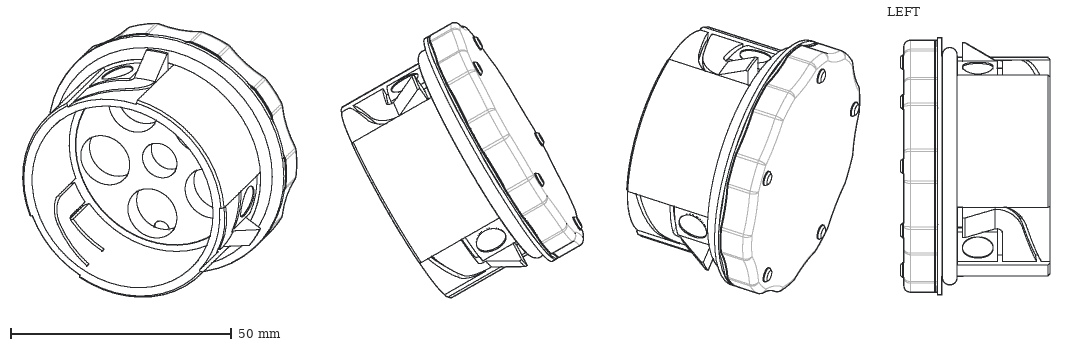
import cadquery as cq
import math


BARREL_RADIUS = 25.0
BARREL_BORE = 22.4
BARREL_RIM_CHAMFER = 0.5
SHOULDER_Y = 21.0
PLUG_BORE = 20.9

GASKET_FRONT_Y = 24.6
GASKET_SEAT_Y = 25.35
GASKET_RIM_Y = 25.6
PLATE_BACK_Y = 26.0
CAP_FRONT_Y = 26.2
CAP_BACK_Y = 33.25
KNOB_TIP_Y = 34.0

ORING_SECTION = 1.7
ORING_RADIUS = 25.3
ORING_Y = 22.8

GRIP_RADIUS = 29.2
GRIP_COUNT = 10
SCALLOP_HALF_ANGLE = 10.8
SCALLOP_DEPTH = 0.6
SCALLOP_EDGE_FILLET = 1.65
CAP_EDGE_FILLET = 1.5
SPIGOT_RADIUS = 27.1
GASKET_SEAT_RADIUS = 28.3

KNOB_COUNT = 5
KNOB_CIRCLE = 24.8
KNOB_FIRST_ANGLE = 36.0
KNOB_RADIUS = 1.7
KNOB_SIDE = 0.25
KNOB_TIP_RADIUS = 1.2

BORE_CIRCLE = 19.75
BORE_ANGLES = (115.0, 265.0)
BORE_RADIUS = 1.9
BORE_DEPTH = 0.6

PLUG_RADIUS = 20.8
HOLE_COUNT = 5
HOLE_CIRCLE = 13.7
HOLE_FIRST_ANGLE = 46.4
HOLE_RADIUS = 6.1
CENTRE_HOLE_RADIUS = 4.25

LATCH_COUNT = 3
PANEL_RADIUS = 24.1
PANEL_START_ANGLE = 82.0
PANEL_END_ANGLE = 124.0
HOOK_HALF_WIDTH = 2.55
HOOK_END_Y = 19.9
HOOK_LAND = 0.6
HOOK_FOOT_Y = 12.5
HOOK_TIP_RADIUS = 28.1
HOOK_ROOT_RADIUS = 23.35
SLIT_WIDTH = 0.9
CROSS_SLIT_WIDTH = 1.1
CROSS_SLIT_Y = 10.85
CROSS_SLIT_FILLET = 1.15
ARM_BEND_RADIUS = 6.4
ARM_SLOPE = 16.0
ARM_SLIT_WIDTH = 1.0
DIMPLE_X = -8.45
DIMPLE_Y = 16.4
DIMPLE_RADIUS = 3.5
DIMPLE_DEPTH = 0.3

LIP_LENGTH = 0.7
LIP_HEIGHT = 0.4
LIP_START_ANGLE = -22.0
LIP_END_ANGLE = PANEL_START_ANGLE

CUT_REACH = 35.05


def polar(radius, angle):
    """X and Z of a point at this radius and angle about the Y axis."""
    return (radius * math.cos(math.radians(angle)), radius * math.sin(math.radians(angle)))


def disc(radius, front_y, back_y):
    """Solid cylinder on the Y axis."""
    return cq.Workplane("XZ", origin=(0, front_y, 0)).circle(radius).extrude(front_y - back_y)


def peg(circle, angle, radius, front_y, back_y):
    """Cylinder parallel to Y, centred on a circle about the axis."""
    x, z = polar(circle, angle)
    return disc(radius, front_y, back_y).translate((x, 0, z))


def sector(start_angle, end_angle, front_y, back_y):
    """Wedge from the Y axis out past the part, between two angles."""
    half_span = (end_angle - start_angle) / 2
    reach = CUT_REACH / math.cos(math.radians(half_span))
    corners = [
        (0, 0),
        polar(CUT_REACH, start_angle),
        polar(reach, start_angle + half_span),
        polar(CUT_REACH, end_angle),
    ]
    return cq.Workplane("XZ", origin=(0, front_y, 0)).polyline(corners).close().extrude(front_y - back_y)


def grip_prism(front_y, back_y):
    """Disc with scallops around its rim, one of them centred at the top."""
    pitch = 360 / GRIP_COUNT
    valley_radius = GRIP_RADIUS * math.cos(math.radians(SCALLOP_HALF_ANGLE)) - SCALLOP_DEPTH
    first = 90 - SCALLOP_HALF_ANGLE
    outline = cq.Workplane("XZ", origin=(0, front_y, 0)).moveTo(*polar(GRIP_RADIUS, first))
    for i in range(GRIP_COUNT):
        middle = 90 + i * pitch
        scallop_end = polar(GRIP_RADIUS, middle + SCALLOP_HALF_ANGLE)
        crest_middle = polar(GRIP_RADIUS, middle + pitch / 2)
        crest_end = polar(GRIP_RADIUS, middle + pitch - SCALLOP_HALF_ANGLE)
        outline = outline.threePointArc(polar(valley_radius, middle), scallop_end)
        outline = outline.threePointArc(crest_middle, crest_end)
    prism = outline.close().extrude(front_y - back_y)
    return prism.edges("|Y").fillet(SCALLOP_EDGE_FILLET)


def make_cap():
    cap = grip_prism(CAP_FRONT_Y, CAP_BACK_Y).faces(">Y").edges().fillet(CAP_EDGE_FILLET)
    cap = cap.union(disc(SPIGOT_RADIUS, PLATE_BACK_Y, CAP_FRONT_Y))
    knob_profile = [
        (0, CAP_BACK_Y),
        (KNOB_RADIUS, CAP_BACK_Y),
        (KNOB_RADIUS, CAP_BACK_Y + KNOB_SIDE),
        (KNOB_TIP_RADIUS, KNOB_TIP_Y),
        (0, KNOB_TIP_Y),
    ]
    knob = cq.Workplane("XY").polyline(knob_profile).close().revolve(360, (0, 0), (0, 1))
    for i in range(KNOB_COUNT):
        x, z = polar(KNOB_CIRCLE, KNOB_FIRST_ANGLE + i * 360 / KNOB_COUNT)
        cap = cap.union(knob.translate((x, 0, z)))
    for angle in BORE_ANGLES:
        cap = cap.cut(peg(BORE_CIRCLE, angle, BORE_RADIUS, PLATE_BACK_Y, PLATE_BACK_Y + BORE_DEPTH))
    return cap


def make_gasket():
    """Flat ring whose back face rises to a lip at the rim."""
    profile = [
        (BARREL_RADIUS, GASKET_FRONT_Y),
        (GRIP_RADIUS, GASKET_FRONT_Y),
        (GRIP_RADIUS, GASKET_RIM_Y),
        (GASKET_SEAT_RADIUS, GASKET_SEAT_Y),
        (BARREL_RADIUS, GASKET_SEAT_Y),
    ]
    return cq.Workplane("XY").polyline(profile).close().revolve(360, (0, 0), (0, 1))


def make_cover_plate(gasket):
    """Scalloped ring between the gasket and the cap."""
    plate = grip_prism(GASKET_SEAT_Y, PLATE_BACK_Y)
    plate = plate.cut(disc(BARREL_RADIUS, GASKET_SEAT_Y, PLATE_BACK_Y))
    return plate.cut(gasket)


def make_oring():
    section = cq.Workplane("XY").center(ORING_RADIUS, ORING_Y).circle(ORING_SECTION)
    return section.revolve(360, (-ORING_RADIUS, 0), (-ORING_RADIUS, 1))


def make_plug():
    plug = disc(PLUG_RADIUS, SHOULDER_Y, PLATE_BACK_Y)
    plug = plug.cut(disc(CENTRE_HOLE_RADIUS, SHOULDER_Y, PLATE_BACK_Y))
    for i in range(HOLE_COUNT):
        angle = HOLE_FIRST_ANGLE + i * 360 / HOLE_COUNT
        plug = plug.cut(peg(HOLE_CIRCLE, angle, HOLE_RADIUS, SHOULDER_Y, PLATE_BACK_Y))
    return plug


def panel_relief():
    """Material removed outside the lowered latch panel."""
    panel = sector(PANEL_START_ANGLE, PANEL_END_ANGLE, 0, SHOULDER_Y)
    return panel.cut(disc(PANEL_RADIUS, 0, SHOULDER_Y))


def cut_down(profile):
    """Extrude a closed XY profile up through the top wall of the barrel."""
    return profile.close().extrude(CUT_REACH)


def arm_edge(offset):
    """Closed XY area inside the arm's curved outer edge, pushed out by an offset."""
    slope = math.radians(ARM_SLOPE)
    edge_x = HOOK_HALF_WIDTH + offset
    radius = ARM_BEND_RADIUS + offset
    centre_x = edge_x - radius
    half_turn = (math.radians(90) - slope) / 2
    bend_middle = (
        centre_x + radius * math.cos(half_turn),
        HOOK_FOOT_Y - radius * math.sin(half_turn),
    )
    bend_end = (centre_x + radius * math.sin(slope), HOOK_FOOT_Y - radius * math.cos(slope))
    far_end = (-CUT_REACH, bend_end[1] - (bend_end[0] + CUT_REACH) * math.tan(slope))
    outline = (
        cq.Workplane("XY")
        .moveTo(edge_x, SHOULDER_Y)
        .lineTo(edge_x, HOOK_FOOT_Y)
        .threePointArc(bend_middle, bend_end)
        .lineTo(*far_end)
        .lineTo(-CUT_REACH, SHOULDER_Y)
    )
    return cut_down(outline)


def latch_slits():
    """Slits that free the arm from the barrel wall, kept within the panel."""
    curved_slit = arm_edge(ARM_SLIT_WIDTH).cut(arm_edge(0))
    pad_edge_x = -HOOK_HALF_WIDTH - SLIT_WIDTH
    corner_slit = (
        cq.Workplane("XY")
        .moveTo(-HOOK_HALF_WIDTH, SHOULDER_Y)
        .lineTo(-HOOK_HALF_WIDTH, CROSS_SLIT_Y + CROSS_SLIT_FILLET)
        .radiusArc((-HOOK_HALF_WIDTH - CROSS_SLIT_FILLET, CROSS_SLIT_Y), CROSS_SLIT_FILLET)
        .lineTo(-CUT_REACH, CROSS_SLIT_Y)
        .lineTo(-CUT_REACH, CROSS_SLIT_Y + CROSS_SLIT_WIDTH)
        .lineTo(pad_edge_x, CROSS_SLIT_Y + CROSS_SLIT_WIDTH)
        .lineTo(pad_edge_x, SHOULDER_Y)
    )
    end_gap = (
        cq.Workplane("XY")
        .moveTo(pad_edge_x, HOOK_END_Y)
        .lineTo(HOOK_HALF_WIDTH + SLIT_WIDTH, HOOK_END_Y)
        .lineTo(HOOK_HALF_WIDTH + SLIT_WIDTH, SHOULDER_Y)
        .lineTo(pad_edge_x, SHOULDER_Y)
    )
    slits = curved_slit.union(cut_down(corner_slit)).union(cut_down(end_gap))
    return slits.intersect(sector(PANEL_START_ANGLE, PANEL_END_ANGLE, 0, SHOULDER_Y))


def dimple():
    """Shallow round recess in the panel beside the hook."""
    column = cq.Workplane("XY").center(DIMPLE_X, DIMPLE_Y).circle(DIMPLE_RADIUS).extrude(CUT_REACH)
    return column.cut(disc(PANEL_RADIUS - DIMPLE_DEPTH, 0, SHOULDER_Y))


def hook():
    """Ramp on the end of the arm, conical about the Y axis."""
    profile = [
        (HOOK_ROOT_RADIUS, HOOK_END_Y),
        (HOOK_TIP_RADIUS, HOOK_END_Y),
        (HOOK_TIP_RADIUS, HOOK_END_Y - HOOK_LAND),
        (PANEL_RADIUS, HOOK_FOOT_Y),
        (HOOK_ROOT_RADIUS, HOOK_FOOT_Y),
    ]
    collar = cq.Workplane("XY").polyline(profile).close().revolve(360, (0, 0), (0, 1))
    arm_strip = cq.Workplane("XY").rect(2 * HOOK_HALF_WIDTH, 2 * SHOULDER_Y).extrude(CUT_REACH)
    return collar.intersect(arm_strip)


def bore_lip():
    """Tapered lip where the bore meets the shoulder, over part of the circumference."""
    profile = [
        (BARREL_BORE, SHOULDER_Y - LIP_LENGTH),
        (BARREL_BORE, SHOULDER_Y),
        (BARREL_BORE - LIP_HEIGHT, SHOULDER_Y),
    ]
    lip = cq.Workplane("XY").polyline(profile).close().revolve(360, (0, 0), (0, 1))
    return lip.intersect(sector(LIP_START_ANGLE, LIP_END_ANGLE, 0, SHOULDER_Y))


def make_barrel(oring):
    barrel = disc(BARREL_RADIUS, 0, PLATE_BACK_Y).faces("<Y").edges().chamfer(BARREL_RIM_CHAMFER)
    barrel = barrel.cut(disc(BARREL_BORE, 0, SHOULDER_Y))
    barrel = barrel.cut(disc(PLUG_BORE, SHOULDER_Y, PLATE_BACK_Y))
    barrel = barrel.union(bore_lip())
    barrel = barrel.cut(oring)
    removed = panel_relief().union(latch_slits()).union(dimple())
    for i in range(LATCH_COUNT):
        turn = i * 360 / LATCH_COUNT
        barrel = barrel.cut(removed.rotate((0, 0, 0), (0, 1, 0), turn))
        barrel = barrel.union(hook().rotate((0, 0, 0), (0, 1, 0), turn))
    return barrel


cap = make_cap()
gasket = make_gasket()
cover_plate = make_cover_plate(gasket)
oring = make_oring()
plug = make_plug()
barrel = make_barrel(oring)

bodies = [cap, gasket, cover_plate, oring, plug, barrel]
result = cq.Compound.makeCompound([body.solids().val() for body in bodies])